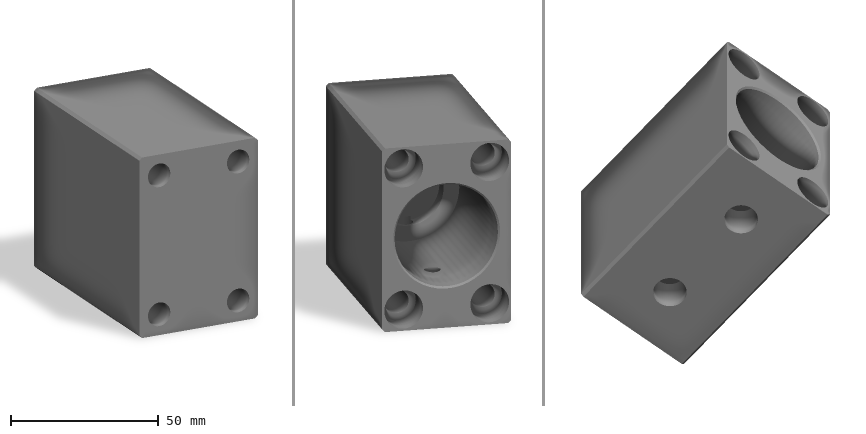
import cadquery as cq

LENGTH = 78.0
WIDTH = 45.0
HEIGHT = 65.0
EDGE_CHAMFER = 1.0
OPEN_END_X = -LENGTH / 2
BOTTOM_Z = -HEIGHT / 2

PORT_X = 19.0
PORT_DIAMETER = 11.4
PORT_TOP_Z = -18.9
PASSAGE_DIAMETER = 5.6
FRONT_PASSAGE_TOP_Z = 0.0
REAR_PASSAGE_TOP_Z = -10.9

BORE_DIAMETER = 36.0
BORE_DEPTH = 54.0
BORE_CHAMFER = 0.6

RECESS_DIAMETER = 25.0
RECESS_PAST_PORT = 1.55
RECESS_END_DEPTH = PORT_X + RECESS_PAST_PORT - OPEN_END_X

BOLT_SPACING_Y = 30.0
BOLT_SPACING_Z = 50.0
BOLT_DIAMETER = 8.5
COUNTERBORE_DIAMETER = 13.5
COUNTERBORE_DEPTH = 10.0


def drill_along_x(diameter, depth, y=0, z=0):
    """Cylinder running from the open end towards +X."""
    start = cq.Vector(OPEN_END_X, y, z)
    return cq.Workplane(cq.Solid.makeCylinder(diameter / 2, depth, start, cq.Vector(1, 0, 0)))


def drill_from_bottom(diameter, x, top_z):
    """Cylinder running from the bottom face up to top_z."""
    start = cq.Vector(x, 0, BOTTOM_Z)
    return cq.Workplane(cq.Solid.makeCylinder(diameter / 2, top_z - BOTTOM_Z, start))


def make_block():
    block = cq.Workplane("XY").box(LENGTH, WIDTH, HEIGHT)
    return block.edges("|X").chamfer(EDGE_CHAMFER)


def make_bore():
    """Bore and floor recess, with a chamfered mouth."""
    bore = drill_along_x(BORE_DIAMETER, BORE_DEPTH)
    recess = drill_along_x(RECESS_DIAMETER, RECESS_END_DEPTH)
    bore_radius = BORE_DIAMETER / 2
    mouth_centre = cq.Vector(OPEN_END_X, 0, 0)
    mouth = cq.Solid.makeCone(
        bore_radius + BORE_CHAMFER, bore_radius, BORE_CHAMFER, mouth_centre, cq.Vector(1, 0, 0)
    )
    return bore.union(recess).union(cq.Workplane(mouth))


def make_bolt_hole(y, z):
    hole = drill_along_x(BOLT_DIAMETER, LENGTH, y, z)
    return hole.union(drill_along_x(COUNTERBORE_DIAMETER, COUNTERBORE_DEPTH, y, z))


def make_port(x, passage_top_z):
    """Wide port with a narrower passage leading on into the bore."""
    passage = drill_from_bottom(PASSAGE_DIAMETER, x, passage_top_z)
    return passage.union(drill_from_bottom(PORT_DIAMETER, x, PORT_TOP_Z))


result = make_block().cut(make_bore())

for y in (-BOLT_SPACING_Y / 2, BOLT_SPACING_Y / 2):
    for z in (-BOLT_SPACING_Z / 2, BOLT_SPACING_Z / 2):
        result = result.cut(make_bolt_hole(y, z))

result = result.cut(make_port(-PORT_X, FRONT_PASSAGE_TOP_Z))
result = result.cut(make_port(PORT_X, REAR_PASSAGE_TOP_Z))